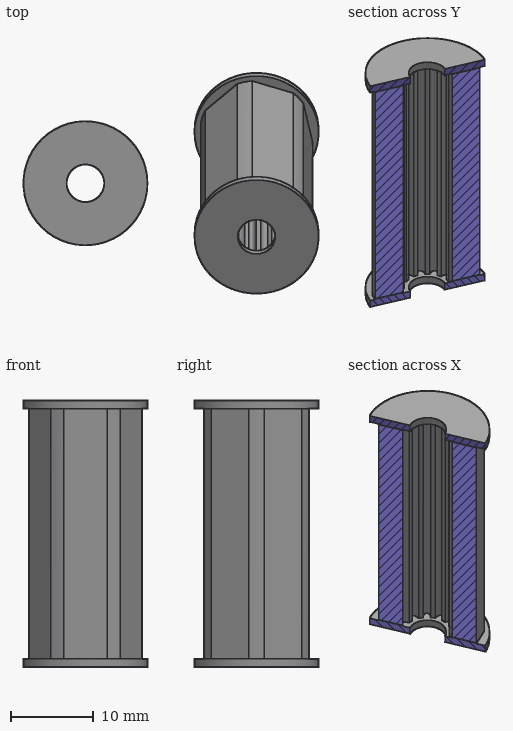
import cadquery as cq
import math

total_length = 32.15
flange_thickness = 1.0
flange_diameter = 15.0
flange_hole_diameter = 4.5
tube_length = total_length - 2 * flange_thickness

hex_across_flats = 12.7
hex_across_corners = hex_across_flats / math.cos(math.pi / 6)
rounded_corner_diameter = 13.73

bore_radius = 2.8
groove_count = 12
groove_pitch_angle = 360 / groove_count
groove_start_angle = 22.5
groove_depth = 0.85
groove_half_width = 0.45


def make_flange(bottom_z):
    """Flat round washer whose lower face is at bottom_z."""
    return (
        cq.Workplane("XY", origin=(0, 0, bottom_z))
        .circle(flange_diameter / 2)
        .circle(flange_hole_diameter / 2)
        .extrude(flange_thickness)
    )


def make_groove_cutter(angle):
    """Elliptical bar centred on the bore wall, with its long axis pointing outwards."""
    return (
        cq.Workplane("XY", origin=(0, 0, -tube_length / 2))
        .center(bore_radius, 0)
        .ellipse(groove_depth, groove_half_width)
        .extrude(tube_length)
        .rotate((0, 0, 0), (0, 0, 1), angle)
    )


def make_tube():
    """Hex tube with corners on the X axis, rounded corners and a grooved bore."""
    base = cq.Workplane("XY", origin=(0, 0, -tube_length / 2))
    hexagon = base.polygon(6, hex_across_corners).extrude(tube_length)
    corner_cylinder = base.circle(rounded_corner_diameter / 2).extrude(tube_length)
    bore = base.circle(bore_radius).extrude(tube_length)
    body = hexagon.intersect(corner_cylinder).cut(bore)
    for index in range(groove_count):
        body = body.cut(make_groove_cutter(groove_start_angle + index * groove_pitch_angle))
    return body


tube = make_tube()
flange_bottoms = [-total_length / 2, tube_length / 2]
flanges = [make_flange(bottom_z) for bottom_z in flange_bottoms]

result = cq.Compound.makeCompound([tube.val(), *[flange.val() for flange in flanges]])